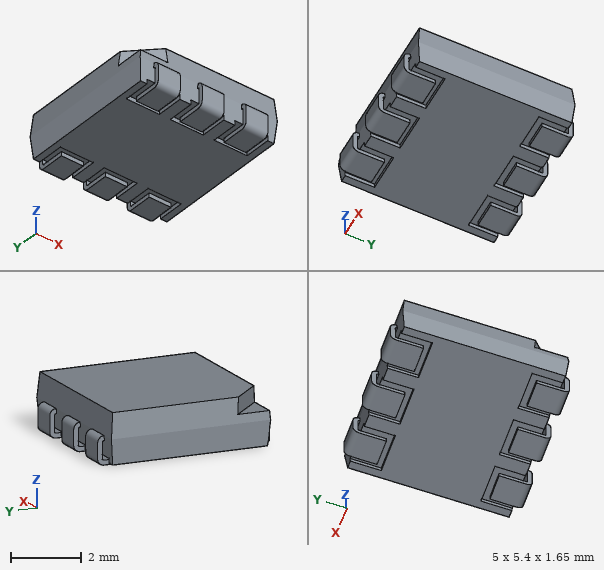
import cadquery as cq
import math


body_width = 5.0
body_height = 1.55
standoff = 0.1
draft_angle = 5.0
half_height = body_height / 2
parting_z = standoff + half_height
top_z = standoff + body_height

window_diameter = 4.3
window_depth = 0.5

mark_depth = 0.5
mark_leg = 1.05

lead_pitch = 1.6
leads_per_side = 3
lead_width = 0.8
lead_thickness = 0.15
bend_radius = 0.2
inner_bend_radius = bend_radius - lead_thickness
lead_span = 5.4
foot_length = 1.0
lead_embed = 0.2
lead_height = parting_z
lead_outer_y = lead_span / 2
lead_root_y = body_width / 2 - lead_embed
foot_end_y = lead_outer_y - foot_length

relief_clearance = 0.2
relief_depth = 0.15
relief_width = lead_width + 2 * relief_clearance
relief_end_y = foot_end_y - relief_clearance


def make_body_half(direction):
    """Half of the body, narrowing from the parting plane upward (1) or downward (-1)."""
    return (
        cq.Workplane("XY", origin=(0, 0, parting_z))
        .rect(body_width, body_width)
        .extrude(direction * half_height, taper=draft_angle)
    )


def make_polarity_cut():
    """Triangular prism that removes the upper part of the marked corner."""
    corner = -body_width / 2
    return (
        cq.Workplane("XY", origin=(0, 0, top_z - mark_depth))
        .moveTo(corner, corner)
        .lineTo(corner + mark_leg, corner)
        .lineTo(corner, corner + mark_leg)
        .close()
        .extrude(mark_depth)
    )


def make_relief(x):
    """Pocket around the foot of a +Y lead, open at the side and bottom of the body."""
    length = lead_outer_y - relief_end_y
    return cq.Workplane("XY", origin=(x, relief_end_y + length / 2, standoff)).box(
        relief_width, length, relief_depth, centered=(True, True, False)
    )


def make_lead(x):
    """C-shaped strip on the +Y side: out of the body, down, and back under it."""
    diagonal = math.sqrt(0.5)
    outer_bend_y = lead_outer_y - bend_radius
    upper_bend_z = lead_height - bend_radius
    lower_bend_z = bend_radius
    inner_y = lead_outer_y - lead_thickness
    outer_mid_y = outer_bend_y + bend_radius * diagonal
    outer_rise = bend_radius * diagonal
    inner_mid_y = outer_bend_y + inner_bend_radius * diagonal
    inner_rise = inner_bend_radius * diagonal
    return (
        cq.Workplane("YZ", origin=(x, 0, 0))
        .moveTo(lead_root_y, lead_height)
        .lineTo(outer_bend_y, lead_height)
        .threePointArc((outer_mid_y, upper_bend_z + outer_rise), (lead_outer_y, upper_bend_z))
        .lineTo(lead_outer_y, lower_bend_z)
        .threePointArc((outer_mid_y, lower_bend_z - outer_rise), (outer_bend_y, 0))
        .lineTo(foot_end_y, 0)
        .lineTo(foot_end_y, lead_thickness)
        .lineTo(outer_bend_y, lead_thickness)
        .threePointArc((inner_mid_y, lower_bend_z - inner_rise), (inner_y, lower_bend_z))
        .lineTo(inner_y, upper_bend_z)
        .threePointArc(
            (inner_mid_y, upper_bend_z + inner_rise),
            (outer_bend_y, lead_height - lead_thickness),
        )
        .lineTo(lead_root_y, lead_height - lead_thickness)
        .close()
        .extrude(lead_width / 2, both=True)
    )


def make_window():
    """Resin disc filling the body under the round window."""
    return (
        cq.Workplane("XY", origin=(0, 0, top_z - window_depth))
        .circle(window_diameter / 2)
        .extrude(window_depth)
    )


lead_positions = [
    (index - (leads_per_side - 1) / 2) * lead_pitch for index in range(leads_per_side)
]

package = make_body_half(1).union(make_body_half(-1)).cut(make_polarity_cut())
for lead_x in lead_positions:
    relief = make_relief(lead_x)
    package = package.cut(relief).cut(relief.mirror("XZ"))
for lead_x in lead_positions:
    lead = make_lead(lead_x)
    package = package.union(lead).union(lead.mirror("XZ"))

result = package.union(make_window(), clean=False)